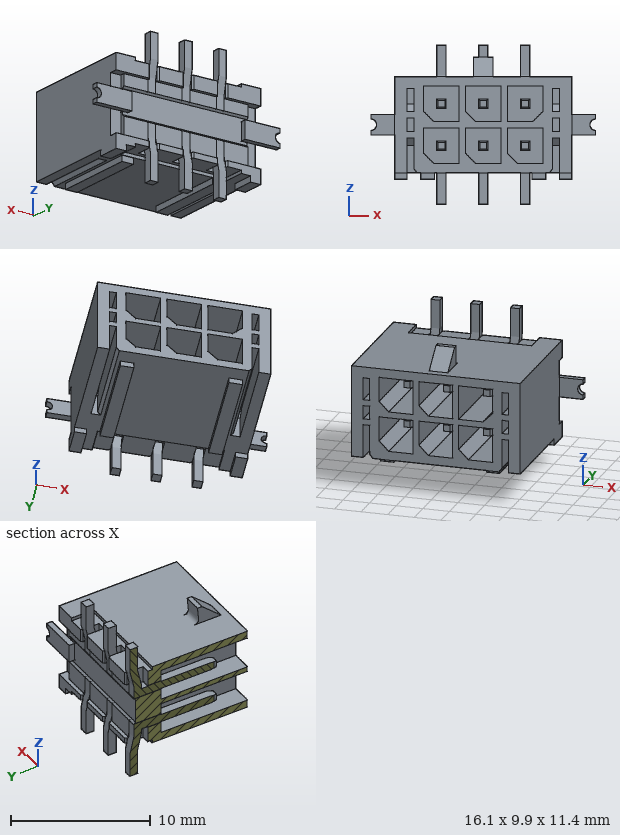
import cadquery as cq
import math


width = 12.68
height = 6.87
depth = 9.9
half_width = width / 2
top = height / 2

pitch = 3.0
columns = (-1, 0, 1)
rows = (1, -1)
key_column = 1
key_row = 1
cavity_side = 2.55
cavity_corner = 0.72
cavity_depth = 7.24

pin_side = 0.68
pin_span = 11.4
pin_shift = 0.3
pin_lean = math.radians(13)
lean_start = 3.54
tip_recess = 2.57
tip_length = 0.5
tip_inset = 0.1
pin_row = pitch / 2
pin_top = pin_row + pin_side / 2
pin_bottom = pin_row - pin_side / 2

recess_width = 9.27
recess_length = 1.87
recess_depth = 0.25
pin_slot_length = 1.5
slot_mouth_chamfer = 0.13

notch_top = 2.09
notch_bottom = -2.72
notch_depth = 0.3
side_notch_depth = 0.68

slot_width = 0.48
slot_x = 5.21
slot_depth = 6.44
slot_bevel = 0.53
upper_slot_top = 2.6
upper_slot_bottom = 0.95
middle_slot_height = 1.0
lower_slot_top = -0.95
slot_flare_width = 0.23
slot_flare_height = 0.3
slot_outer = slot_x + slot_width / 2
slot_inner = slot_x - slot_width / 2

foot_height = 0.48
foot_length = 1.91
rail_width = 1.0
rail_x = 3.97
rail_end = 8.91

latch_width = 1.4
latch_height = 1.4
latch_back = 7.29
latch_crest_length = 0.39
latch_ramp_length = 1.6
latch_undercut = 0.1
latch_root_radius = 0.35

nail_span = 16.09
nail_height = 1.5
nail_thickness = 0.47
nail_hole_radius = 0.4
nail_leg_length = 2.57

groove_half_height = 1.16


def block(x0, x1, y0, y1, z0, z1):
    """Box between two opposite corners."""
    return cq.Workplane("XY").box(x1 - x0, y1 - y0, z1 - z0, centered=False).translate((x0, y0, z0))


def along_x(outline, x_width):
    """Prism with a (Y, Z) outline, centred on X = 0."""
    return cq.Workplane("YZ").polyline(outline).close().extrude(x_width / 2, both=True)


def mirrored_x(shape):
    return shape.mirror("YZ")


def mirrored_z(shape):
    return shape.mirror("XY")


def latch():
    """Ramp with an undercut back face that runs into the top face with a concave root."""
    crest = top + latch_height
    crest_front = -latch_back - latch_crest_length
    root_y = -latch_back - latch_undercut
    root_diagonal = latch_root_radius * (1 - math.sqrt(0.5))
    return (
        cq.Workplane("YZ")
        .moveTo(-latch_back, crest)
        .lineTo(crest_front, crest)
        .lineTo(crest_front - latch_ramp_length, top)
        .lineTo(root_y + latch_root_radius, top)
        .threePointArc(
            (root_y + root_diagonal, top + root_diagonal),
            (root_y, top + latch_root_radius),
        )
        .close()
        .extrude(latch_width / 2, both=True)
    )


def foot_and_rail():
    """Rear foot flush with the +X side, and the rail in front of it."""
    underside = -top - foot_height
    foot = block(slot_outer, half_width, -foot_length, 0, underside, -top)
    rail_left = rail_x - rail_width / 2
    rail = block(rail_left, rail_left + rail_width, -rail_end, -foot_length, underside, -top)
    return foot, rail


def cavity(column, row):
    """Square contact cavity with one bevelled lower corner; the key cavity has it on the +X side."""
    half = cavity_side / 2
    bevel = half - cavity_corner
    outline = [(-half, half), (half, half), (half, -half), (-bevel, -half), (-half, -bevel)]
    if column == key_column and row == key_row:
        outline = [(-x, z) for x, z in outline]
    prism = cq.Workplane("XZ").polyline(outline).close().extrude(cavity_depth)
    return prism.translate((column * pitch, cavity_depth - depth, row * pin_row))


def front_slots():
    """The three slots in the front face on the +X side; the outer two have a bevel at the inner end."""
    end = slot_depth - depth
    bevel_start = end - slot_bevel
    upper = along_x(
        [
            (-depth, upper_slot_top),
            (end, upper_slot_top),
            (end, upper_slot_bottom + slot_bevel),
            (bevel_start, upper_slot_bottom),
            (-depth, upper_slot_bottom),
        ],
        slot_width,
    )
    lower = along_x(
        [
            (-depth, -top),
            (end, -top),
            (end, lower_slot_top - slot_bevel),
            (bevel_start, lower_slot_top),
            (-depth, lower_slot_top),
        ],
        slot_width,
    )
    half = middle_slot_height / 2
    middle = block(slot_inner, slot_outer, -depth, end, -half, half)
    flare = (
        cq.Workplane("XZ")
        .polyline(
            [
                (slot_inner, -top),
                (slot_inner - slot_flare_width, -top),
                (slot_inner, -top + slot_flare_height),
            ]
        )
        .close()
        .extrude(slot_depth)
        .translate((0, end, 0))
    )
    return upper.translate((slot_x, 0, 0)), middle, lower.translate((slot_x, 0, 0)), flare


def rear_notch():
    """Full-width notch in the rear with a bevelled groove for the nail plates."""
    groove_floor = groove_half_height - (nail_thickness - notch_depth)
    return along_x(
        [
            (0, notch_top),
            (-notch_depth, notch_top),
            (-notch_depth, groove_half_height),
            (-nail_thickness, groove_floor),
            (-nail_thickness, -groove_floor),
            (-notch_depth, -groove_half_height),
            (-notch_depth, notch_bottom),
            (0, notch_bottom),
        ],
        width,
    )


def side_notch():
    """Deeper part of the rear notch through the +X side wall."""
    return block(slot_outer, half_width, -side_notch_depth, 0, notch_bottom, notch_top)


def pin_slot(column):
    """Slot from the rear edge down to the underside of an upper pin, with a bevelled mouth."""
    half = pin_side / 2
    mouth = half + slot_mouth_chamfer
    outline = [
        (-half, -pin_slot_length),
        (half, -pin_slot_length),
        (half, -slot_mouth_chamfer),
        (mouth, 0),
        (-mouth, 0),
        (-half, -slot_mouth_chamfer),
    ]
    slot = cq.Workplane("XY").polyline(outline).close().extrude(top - pin_bottom)
    return slot.translate((column * pitch, 0, pin_bottom))


def pin(column):
    """Upper-row pin: horizontal contact with a tapered tip, and a tail that leans back to the board."""
    lean_height = pin_shift / math.tan(pin_lean)
    rear_lean_start = lean_start + pin_side * math.tan(pin_lean / 2)
    tail_end = pin_span / 2
    tail_front = -pin_side - pin_shift
    shoulder = tip_recess + tip_length - depth
    body = along_x(
        [
            (0, tail_end),
            (-pin_side, tail_end),
            (-pin_side, lean_start),
            (tail_front, lean_start - lean_height),
            (tail_front, pin_top),
            (shoulder, pin_top),
            (shoulder, pin_bottom),
            (-pin_shift, pin_bottom),
            (-pin_shift, rear_lean_start - lean_height),
            (0, rear_lean_start),
        ],
        pin_side,
    )
    tip_side = pin_side - 2 * tip_inset
    tip = (
        cq.Workplane("XZ", origin=(0, shoulder, pin_row))
        .rect(pin_side, pin_side)
        .workplane(offset=tip_length)
        .rect(tip_side, tip_side)
        .loft()
    )
    return body.union(tip).translate((column * pitch, 0, 0))


def nail():
    """+X fitting nail: plate along the board with a half-round end notch, and a leg into the housing."""
    half = nail_height / 2
    end = nail_span / 2
    plate = block(slot_inner, end, -nail_thickness, 0, -half, half)
    hole = cq.Workplane("XZ").center(end, 0).circle(nail_hole_radius).extrude(nail_thickness)
    return plate.cut(hole).union(nail_leg())


def nail_leg():
    """Leg of the +X nail, which is also the shape of its pocket in the housing."""
    half = nail_height / 2
    return block(slot_inner, slot_outer, -nail_leg_length, 0, -half, half)


def housing(pins):
    """Housing block with its latch, feet and rails, and every recess and hole cut out of it."""
    body = block(-half_width, half_width, -depth, 0, -top, top).union(latch())
    for part in foot_and_rail():
        body = body.union(part).union(mirrored_x(part))
    for column in columns:
        for row in rows:
            body = body.cut(cavity(column, row))
    for cutter in (*front_slots(), side_notch(), nail_leg()):
        body = body.cut(cutter).cut(mirrored_x(cutter))
    body = body.cut(rear_notch())
    half_recess = recess_width / 2
    recess = block(-half_recess, half_recess, -recess_length, 0, top - recess_depth, top)
    for cutter in (recess, *[pin_slot(column) for column in columns]):
        body = body.cut(cutter).cut(mirrored_z(cutter))
    for contact in pins:
        body = body.cut(contact)
    return body


upper_pins = [pin(column) for column in columns]
pins = upper_pins + [mirrored_z(contact) for contact in upper_pins]
nails = [nail(), mirrored_x(nail())]
header = housing(pins)

result = cq.Compound.makeCompound(
    [header.val(), *[contact.val() for contact in pins], *[clip.val() for clip in nails]]
)